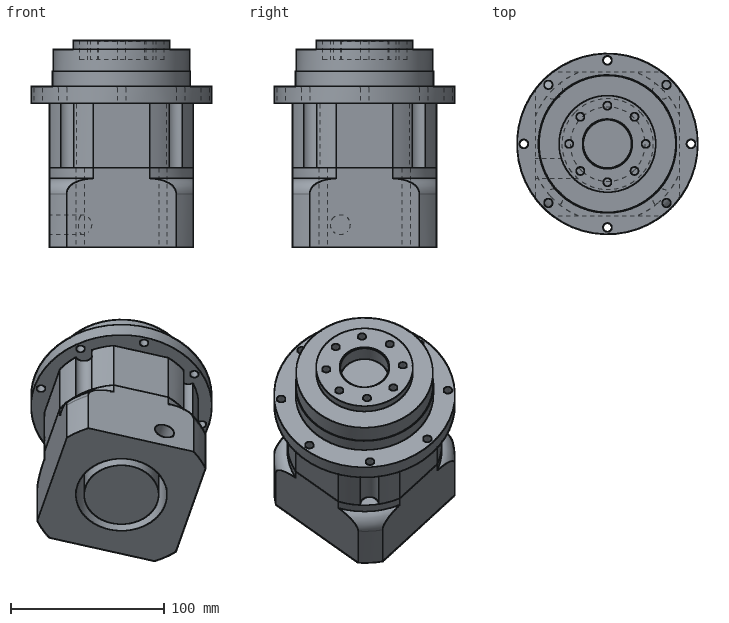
import cadquery as cq

total_height = 135.0
adapter_height = 52.0
flange_bottom = 94.0
flange_top = 105.0
centering_top = 115.0
nose_top = 129.0

body_width = 94.0
neck_diameter = 101.0

shoulder_height = 45.1
shoulder_fillet = 10.0
clamp_bore_diameter = 59.4
access_hole_diameter = 13.0
access_hole_y = -15.9
access_hole_z = 15.0

hub_diameter = 48.6

flange_diameter = 118.0
centering_diameter = 90.0
nose_diameter = 89.2
pilot_diameter = 63.0
screw_groove_diameter = 12.0
screw_groove_radius = 50.0

flange_hole_count = 8
flange_hole_diameter = 5.5
flange_hole_circle = 109.0

output_bore_diameter = 31.5
output_bore_depth = 12.3
output_bore_chamfer = 0.5
output_hole_count = 8
output_hole_diameter = 5.3
output_hole_circle = 50.0


def cylinder(diameter, bottom, top):
    """Upright cylinder on the Z axis between two heights."""
    return cq.Workplane("XY").workplane(offset=bottom).circle(diameter / 2).extrude(top - bottom)


def square_prism(bottom, top):
    """Upright square prism of the body width on the Z axis."""
    return cq.Workplane("XY").workplane(offset=bottom).rect(body_width, body_width).extrude(top - bottom)


def hole_ring(count, hole_diameter, circle_diameter, bottom, top):
    """Upright cylinders spaced evenly around a circle, the first on the X axis."""
    return (
        cq.Workplane("XY")
        .workplane(offset=bottom)
        .polarArray(circle_diameter / 2, 0, 360, count)
        .circle(hole_diameter / 2)
        .extrude(top - bottom)
    )


def make_adapter():
    """Square motor adapter with rounded corner shoulders below a narrower neck."""
    lower = cylinder(flange_diameter, 0, shoulder_height).faces(">Z").edges().fillet(shoulder_fillet)
    neck = cylinder(neck_diameter, 0, adapter_height)
    adapter = lower.union(neck).intersect(square_prism(0, adapter_height))

    adapter = adapter.cut(cylinder(clamp_bore_diameter, 0, adapter_height))

    access_hole = (
        cq.Workplane("YZ")
        .workplane(offset=-body_width / 2)
        .center(access_hole_y, access_hole_z)
        .circle(access_hole_diameter / 2)
        .extrude(body_width / 2)
    )
    return adapter.cut(access_hole)


def make_clamping_hub():
    """Round hub in the adapter bore, resting against the underside of the gear housing."""
    return cylinder(hub_diameter, 0, adapter_height)


def make_gear_housing():
    """Gear housing with mounting flange, centering step, nose and output face."""
    body = cylinder(neck_diameter, adapter_height, flange_bottom)
    body = body.intersect(square_prism(adapter_height, flange_bottom))

    grooves = (
        cq.Workplane("XY")
        .workplane(offset=adapter_height)
        .polarArray(screw_groove_radius, 45, 360, 4)
        .circle(screw_groove_diameter / 2)
        .extrude(flange_bottom - adapter_height)
    )
    housing = body.cut(grooves)

    housing = (
        housing.union(cylinder(flange_diameter, flange_bottom, flange_top))
        .union(cylinder(centering_diameter, flange_top, centering_top))
        .union(cylinder(nose_diameter, centering_top, nose_top))
        .union(cylinder(pilot_diameter, nose_top, total_height))
    )

    output_floor = total_height - output_bore_depth
    housing = housing.cut(cylinder(output_bore_diameter, output_floor, total_height))
    rim = cq.selectors.RadiusNthSelector(0)
    housing = housing.faces(">Z").edges(rim).chamfer(output_bore_chamfer)

    housing = housing.cut(
        hole_ring(output_hole_count, output_hole_diameter, output_hole_circle, output_floor, total_height)
    )

    return housing.cut(
        hole_ring(flange_hole_count, flange_hole_diameter, flange_hole_circle, flange_bottom, flange_top)
    )


adapter = make_adapter()
clamping_hub = make_clamping_hub()
gear_housing = make_gear_housing()

result = cq.Compound.makeCompound([adapter.val(), clamping_hub.val(), gear_housing.val()])